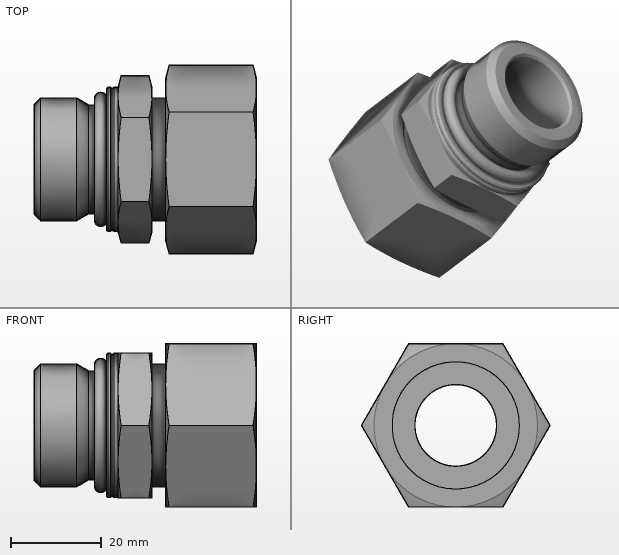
import cadquery as cq
import math


overall_length = 49.0
bore_radius = 8.95
bore_chamfer = 0.55

stud_radius = 13.55
stud_chamfer = 1.45
stud_end_x = 9.35
neck_radius = 12.0
neck_start_x = 12.0

flange_x = 15.92
flange_radius = 15.92
rim_chamfer = 0.35
rim_groove_x = 17.2
rim_groove_depth = 0.35
rim_groove_half_width = 0.4

body_hex_flats = 32.0
nut_hex_flats = 36.0
hex_chamfer_angle = 15.0

body_hex_x = 18.5
body_hex_end_x = 25.95
nut_x = 29.0

collar_radius = stud_radius
collar_end_x = 29.55
shank_radius = 14.0
shank_lead_in = shank_radius - collar_radius

outer_flare_radius = 15.2
outer_flare_depth = 0.3
inner_flare_radius = 14.7
inner_flare_depth = 0.7

seal_outer_radius = 14.8
seal_section_radius = (seal_outer_radius - neck_radius) / 2
seal_center_radius = neck_radius + seal_section_radius
seal_center_x = 14.7


def revolve_about_x(points):
    """Solid of revolution from (x, radius) points."""
    return cq.Workplane("XY").polyline(points).close().revolve(360, (0, 0, 0), (1, 0, 0))


def chamfered_hexagon(start_x, end_x, flats):
    """Hexagonal prism along X, flats facing +Z and -Z, with conical corner chamfers at both ends."""
    flat_radius = flats / 2
    corner_radius = flat_radius / math.cos(math.radians(30))
    chamfer_length = (corner_radius - flat_radius) * math.tan(math.radians(hex_chamfer_angle))
    prism = (
        cq.Workplane("YZ", origin=(start_x, 0, 0))
        .polygon(6, 2 * corner_radius)
        .extrude(end_x - start_x)
    )
    envelope = revolve_about_x([
        (start_x, 0),
        (start_x, flat_radius),
        (start_x + chamfer_length, corner_radius),
        (end_x - chamfer_length, corner_radius),
        (end_x, flat_radius),
        (end_x, 0),
    ])
    return prism.intersect(envelope)


def make_seal():
    """O-ring around the neck."""
    return (
        cq.Workplane("XY")
        .center(seal_center_x, seal_center_radius)
        .circle(seal_section_radius)
        .revolve(360, (-seal_center_x, -seal_center_radius, 0), (0.5 - seal_center_x, -seal_center_radius, 0))
    )


def make_stud_and_flange():
    """Turned part from the stud end face to the body hexagon."""
    return revolve_about_x([
        (0, 0),
        (0, stud_radius - stud_chamfer),
        (stud_chamfer, stud_radius),
        (stud_end_x, stud_radius),
        (neck_start_x, neck_radius),
        (flange_x, neck_radius),
        (flange_x, flange_radius - rim_chamfer),
        (flange_x + rim_chamfer, flange_radius),
        (rim_groove_x - rim_groove_half_width, flange_radius),
        (rim_groove_x, flange_radius - rim_groove_depth),
        (rim_groove_x + rim_groove_half_width, flange_radius),
        (body_hex_x, flange_radius),
        (body_hex_x, 0),
    ])


def make_shank():
    """Turned part behind the body hexagon, widening inside the nut."""
    return revolve_about_x([
        (body_hex_end_x, 0),
        (body_hex_end_x, collar_radius),
        (collar_end_x, collar_radius),
        (collar_end_x + shank_lead_in, shank_radius),
        (overall_length, shank_radius),
        (overall_length, 0),
    ])


def make_bore():
    """Through bore, chamfered at the stud end."""
    return revolve_about_x([
        (0, 0),
        (0, bore_radius + bore_chamfer),
        (bore_chamfer, bore_radius),
        (overall_length, bore_radius),
        (overall_length, 0),
    ])


def make_fitting(seal):
    """Stud, flange, hexagon and shank in one piece, with the O-ring seat cut out."""
    hexagon = chamfered_hexagon(body_hex_x, body_hex_end_x, body_hex_flats)
    solid = make_stud_and_flange().union(hexagon).union(make_shank())
    return solid.cut(make_bore()).cut(seal)


def make_nut():
    """Union nut around the shank."""
    hexagon = chamfered_hexagon(nut_x, overall_length, nut_hex_flats)
    inner_flare_x = nut_x + outer_flare_depth
    hole = revolve_about_x([
        (nut_x, 0),
        (nut_x, outer_flare_radius),
        (inner_flare_x, inner_flare_radius),
        (inner_flare_x + inner_flare_depth, shank_radius),
        (overall_length, shank_radius),
        (overall_length, 0),
    ])
    return hexagon.cut(hole)


seal = make_seal()
fitting = make_fitting(seal)
nut = make_nut()

result = cq.Compound.makeCompound([fitting.val(), seal.val(), nut.val()])